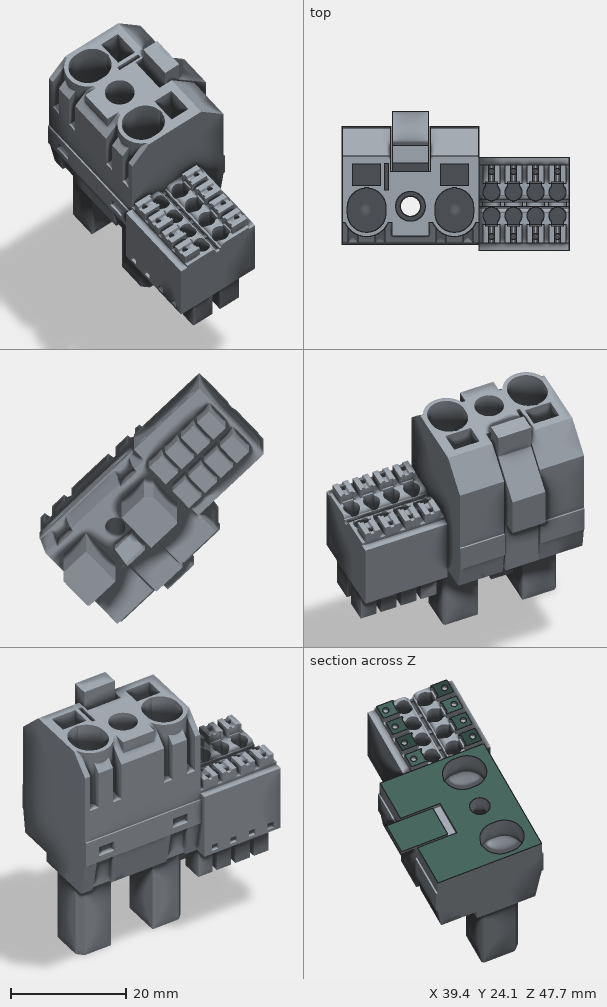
import cadquery as cq


POWER_WIDTH = 23.7
POWER_MIDDLE = POWER_WIDTH / 2
POWER_PITCH = 15.2
POWER_POLES = [POWER_MIDDLE - POWER_PITCH / 2, POWER_MIDDLE + POWER_PITCH / 2]
POWER_FRONT = 1.35
POWER_BACK = 21.27
POWER_TOP = 44.85
POWER_BOTTOM = 15.55
FRONT_CHAMFER = 3.6
BACK_CHAMFER = 4.85
BAND_OVERHANG = 0.3
BAND_BOTTOM = 22.3
BAND_TOP = 27.35
HEEL_Y = 13.75
HEEL_BOTTOM = 17.5
TAPER_FRONT_Y = 2.58
TAPER_BACK_Y = 20.6

FUNNEL_WIDTH = 6.73
FUNNEL_RADIUS = FUNNEL_WIDTH / 2
FUNNEL_FRONT_Y = 6.55
FUNNEL_BACK_Y = 7.5
FUNNEL_DEPTH = 19.1
FUNNEL_GROOVE_WIDTH = 0.65
FUNNEL_GROOVE_DEPTH = 0.1
COLLAR_RADIUS = 4.1
GROOVE_BOTTOM = 33.8
GROOVE_OUTER = 3.2
GROOVE_INNER = 1.5

PAD_WIDTH = 6.4
PAD_FRONT_Y = 2.58
PAD_BOTTOM = 42.45
SCREW_Y = 7.7
SCREW_DIAMETER = 3.5
SCREW_RADIUS = SCREW_DIAMETER / 2
SCREW_HEAD_RADIUS = 2.58
SCREW_HEAD_DEPTH = 9.55
POCKET_WIDTH = 4.85
POCKET_FRONT_Y = 11.3
POCKET_LENGTH = 3.65
POCKET_DEPTH = 14.3
KEYWAY_X = 7.35
KEYWAY_Y = 10.55
KEYWAY_WIDTH = 0.7
KEYWAY_LENGTH = 4.6
KEYWAY_DEPTH = 4.75
WINDOW_WIDTH = 3.15
WINDOW_BOTTOM = 23.55
WINDOW_HEIGHT = 1.95
WINDOW_DEPTH = 1.1
RECESS_MOUTH_WIDTH = 3.63
RECESS_FACE_WIDTH = 3.9
RECESS_FLARE_START_Y = 2.2
RECESS_FLARE_END_Y = 2.58
RECESS_FACE_Y = 3.15

LATCH_SLOT_WIDTH = 6.8
LATCH_WIDTH = 6.25
LATCH_OUTER_Y = 24.15
LATCH_SHOULDER_BOTTOM = 29.85
LATCH_SHOULDER_TOP = 37.3
LATCH_BOTTOM = 18.2
BUTTON_FRONT_Y = 15.2
BUTTON_BACK_Y = 18.25
BUTTON_TOP = 47.7

PRONG_WIDTH = 6.55
PRONG_FRONT_Y = 4.85
PRONG_BACK_Y = 12.25
PRONG_OUTER_X = 1.05
PRONG_FRONT_CHAMFER = 1.15
PRONG_BACK_CHAMFER = 0.4
POST_WIDTH = 4.15
POST_FRONT_Y = 9.8
POST_BACK_Y = 13.0
POST_BOTTOM = 8.25
POST_SLOPE_TOP = 11.05
POST_SLOPE_RUN = 2.55
POST_STEP_TOP = 11.35
POST_STEP = 0.15

SIGNAL_X = POWER_WIDTH
SIGNAL_WIDTH = 15.7
SIGNAL_DEPTH = 16.15
SIGNAL_MIDDLE_Y = SIGNAL_DEPTH / 2
SIGNAL_BOTTOM = 15.7
PANEL_TOP = 28.55
PANEL_THICKNESS = 1.35
DECK_TOP = 29.15
SIGNAL_COUNT = 4
SIGNAL_PITCH = 3.8
FIRST_POLE_X = 25.9
SIGNAL_POLES = [FIRST_POLE_X + i * SIGNAL_PITCH for i in range(SIGNAL_COUNT)]
ENTRY_Y = 6.05
ENTRY_RADIUS = 1.5
ENTRY_DEPTH = 4.75
TROUGH_FRONT_Y = 7.4
TROUGH_BACK_Y = 8.8
TROUGH_DEPTH = 0.75
CHANNEL_FRONT_Y = 7.65
WALL_FRONT_Y = 8.45
CHANNEL_FLOOR = 27.7
CELL_WIDTH = 3.15
CELL_DEPTH = 0.5
TEST_HOLE_SIZE = 1.3
TEST_HOLE_BOTTOM = 16.3
TEST_HOLE_DEPTH = 0.7
TAB_WIDTH = 2.95
TAB_BOTTOM = 9.05
TAB_FRONT_Y = 3.1
TAB_LENGTH = 4.15

LEVER_WIDTH = 2.9
LEVER_FRONT_Y = PANEL_THICKNESS
LEVER_BACK_Y = 4.55
LEVER_BOTTOM = DECK_TOP - ENTRY_DEPTH
LEVER_TOP = 31.1
THROAT_WIDTH = 2.05
THROAT_BACK_Y = 5.0
LEDGE_Z = 29.35
LEDGE_DEPTH = 0.3
NOTCH_TOP_WIDTH = 1.0
NOTCH_FLOOR_WIDTH = 0.55
NOTCH_DEPTH = 0.45
DIMPLE_Y = 2.45
DIMPLE_RADIUS = 0.52
DIMPLE_DEPTH = 1.45


def block(x0, x1, y0, y1, z0, z1):
    """Box between two corners."""
    return cq.Workplane("XY").box(x1 - x0, y1 - y0, z1 - z0, centered=False).translate((x0, y0, z0))


def centred_block(x, width, y0, y1, z0, z1):
    """Box that is centred on x."""
    return block(x - width / 2, x + width / 2, y0, y1, z0, z1)


def side_profile(x, width, points):
    """Outline of (Y, Z) points, extruded along X and centred on x."""
    return cq.Workplane("YZ", origin=(x - width / 2, 0, 0)).polyline(points).close().extrude(width)


def cylinder(x, y, radius, z0, z1):
    """Upright cylinder."""
    return cq.Workplane("XY", origin=(x, y, z0)).circle(radius).extrude(z1 - z0)


def mirrored_row(shape):
    """Copy of a front-row shape in the back row of the signal block."""
    return shape.mirror("XZ", (0, SIGNAL_MIDDLE_Y, 0))


def power_shell():
    """Outer block with its belt, tapered foot and chamfered top edges."""
    belt_front = POWER_FRONT - BAND_OVERHANG
    belt_back = POWER_BACK + BAND_OVERHANG
    return side_profile(POWER_MIDDLE, POWER_WIDTH, [
        (POWER_FRONT + FRONT_CHAMFER, POWER_TOP),
        (POWER_FRONT, POWER_TOP - FRONT_CHAMFER),
        (POWER_FRONT, BAND_TOP),
        (belt_front, BAND_TOP),
        (belt_front, BAND_BOTTOM),
        (POWER_FRONT, BAND_BOTTOM),
        (TAPER_FRONT_Y, POWER_BOTTOM),
        (HEEL_Y, POWER_BOTTOM),
        (HEEL_Y, HEEL_BOTTOM),
        (TAPER_BACK_Y, HEEL_BOTTOM),
        (POWER_BACK, BAND_BOTTOM),
        (belt_back, BAND_BOTTOM),
        (belt_back, BAND_TOP),
        (POWER_BACK, BAND_TOP),
        (POWER_BACK, POWER_TOP - BACK_CHAMFER),
        (POWER_BACK - BACK_CHAMFER, POWER_TOP),
    ])


def collar(x):
    """Round sleeve around a wire funnel, still without its bore."""
    return cylinder(x, FUNNEL_FRONT_Y, COLLAR_RADIUS, GROOVE_BOTTOM, POWER_TOP)


def collar_grooves(x):
    """Two vertical front grooves that expose the collar."""
    width = GROOVE_OUTER - GROOVE_INNER
    offset = (GROOVE_OUTER + GROOVE_INNER) / 2
    grooves = cq.Workplane("XY")
    for side in (-1, 1):
        grooves = grooves.union(centred_block(
            x + side * offset, width, 0, FUNNEL_FRONT_Y, GROOVE_BOTTOM, POWER_TOP))
    return grooves


def funnel_bore(x):
    """Oblong wire opening made of two circles and the block between them, with a groove at the back."""
    floor = POWER_TOP - FUNNEL_DEPTH
    bore = centred_block(x, FUNNEL_WIDTH, FUNNEL_FRONT_Y, FUNNEL_BACK_Y, floor, POWER_TOP)
    for y in (FUNNEL_FRONT_Y, FUNNEL_BACK_Y):
        bore = bore.union(cylinder(x, y, FUNNEL_RADIUS, floor, POWER_TOP))
    groove_back = FUNNEL_BACK_Y + FUNNEL_RADIUS + FUNNEL_GROOVE_DEPTH
    return bore.union(centred_block(
        x, FUNNEL_GROOVE_WIDTH, FUNNEL_BACK_Y, groove_back, floor, POWER_TOP))


def foot_recess(x):
    """Upright recess in the tapered foot that widens towards its inner face."""
    mouth = RECESS_MOUTH_WIDTH / 2
    inner = RECESS_FACE_WIDTH / 2
    outline = [
        (x - mouth, 0),
        (x - mouth, RECESS_FLARE_START_Y),
        (x - inner, RECESS_FLARE_END_Y),
        (x - inner, RECESS_FACE_Y),
        (x + inner, RECESS_FACE_Y),
        (x + inner, RECESS_FLARE_END_Y),
        (x + mouth, RECESS_FLARE_START_Y),
        (x + mouth, 0),
    ]
    height = BAND_BOTTOM - POWER_BOTTOM
    return cq.Workplane("XY", origin=(0, 0, POWER_BOTTOM)).polyline(outline).close().extrude(height)


def latch():
    """Sliding latch in the back slot, with its push button on top."""
    slope_at_button = LATCH_SHOULDER_TOP + LATCH_OUTER_Y - BUTTON_BACK_Y
    return side_profile(POWER_MIDDLE, LATCH_WIDTH, [
        (HEEL_Y, LATCH_BOTTOM),
        (POWER_BACK, LATCH_BOTTOM),
        (POWER_BACK, LATCH_SHOULDER_BOTTOM),
        (LATCH_OUTER_Y, LATCH_SHOULDER_BOTTOM),
        (LATCH_OUTER_Y, LATCH_SHOULDER_TOP),
        (BUTTON_BACK_Y, slope_at_button),
        (BUTTON_BACK_Y, BUTTON_TOP),
        (BUTTON_FRONT_Y, BUTTON_TOP),
        (BUTTON_FRONT_Y, LATCH_SHOULDER_BOTTOM),
        (HEEL_Y, LATCH_SHOULDER_BOTTOM),
    ])


def left_prong():
    """Contact prong with its two outer corners chamfered."""
    outer = PRONG_OUTER_X
    inner = outer + PRONG_WIDTH
    outline = [
        (outer + PRONG_FRONT_CHAMFER, PRONG_FRONT_Y),
        (inner, PRONG_FRONT_Y),
        (inner, PRONG_BACK_Y),
        (outer + PRONG_BACK_CHAMFER, PRONG_BACK_Y),
        (outer, PRONG_BACK_Y - PRONG_BACK_CHAMFER),
        (outer, PRONG_FRONT_Y + PRONG_FRONT_CHAMFER),
    ]
    return cq.Workplane("XY").polyline(outline).close().extrude(POWER_BOTTOM)


def coding_post():
    """Middle post below the housing, with a sloped front at its tip."""
    return side_profile(POWER_MIDDLE, POST_WIDTH, [
        (POST_FRONT_Y, POWER_BOTTOM),
        (POST_FRONT_Y, POST_STEP_TOP),
        (POST_FRONT_Y + POST_STEP, POST_SLOPE_TOP),
        (POST_FRONT_Y + POST_STEP + POST_SLOPE_RUN, POST_BOTTOM),
        (POST_BACK_Y, POST_BOTTOM),
        (POST_BACK_Y, POWER_BOTTOM),
    ])


def power_housing():
    """Housing with its latch, two prongs and coding post."""
    body = power_shell()
    body = body.cut(centred_block(
        POWER_MIDDLE, LATCH_SLOT_WIDTH, HEEL_Y, LATCH_OUTER_Y, POWER_BOTTOM, POWER_TOP))
    body = body.union(latch())
    body = body.union(centred_block(
        POWER_MIDDLE, PAD_WIDTH, PAD_FRONT_Y, POWER_FRONT + FRONT_CHAMFER, PAD_BOTTOM, POWER_TOP))

    window_back = POWER_FRONT - BAND_OVERHANG + WINDOW_DEPTH
    for x in POWER_POLES:
        body = body.cut(collar_grooves(x)).union(collar(x)).cut(funnel_bore(x))
        body = body.cut(centred_block(
            x, POCKET_WIDTH, POCKET_FRONT_Y, POCKET_FRONT_Y + POCKET_LENGTH,
            POWER_TOP - POCKET_DEPTH, POWER_TOP))
        body = body.cut(centred_block(
            x, WINDOW_WIDTH, 0, window_back, WINDOW_BOTTOM, WINDOW_BOTTOM + WINDOW_HEIGHT))
        body = body.cut(foot_recess(x))

    body = body.cut(block(
        KEYWAY_X, KEYWAY_X + KEYWAY_WIDTH, KEYWAY_Y, KEYWAY_Y + KEYWAY_LENGTH,
        POWER_TOP - KEYWAY_DEPTH, POWER_TOP))
    body = body.cut(cylinder(
        POWER_MIDDLE, SCREW_Y, SCREW_HEAD_RADIUS, POWER_TOP - SCREW_HEAD_DEPTH, POWER_TOP))
    body = body.cut(cylinder(POWER_MIDDLE, SCREW_Y, SCREW_RADIUS, POWER_BOTTOM, POWER_TOP))

    body = body.union(left_prong())
    body = body.union(left_prong().mirror("YZ", (POWER_MIDDLE, 0, 0)))
    return body.union(coding_post())


def signal_core():
    """Deck block between two lower panels, with a rounded trough along the middle."""
    trough_floor = DECK_TOP - TROUGH_DEPTH
    return (
        cq.Workplane("YZ", origin=(SIGNAL_X, 0, 0))
        .moveTo(0, SIGNAL_BOTTOM)
        .lineTo(0, PANEL_TOP)
        .lineTo(PANEL_THICKNESS, PANEL_TOP)
        .lineTo(PANEL_THICKNESS, DECK_TOP)
        .lineTo(TROUGH_FRONT_Y - TROUGH_DEPTH, DECK_TOP)
        .radiusArc((TROUGH_FRONT_Y, trough_floor), TROUGH_DEPTH)
        .lineTo(CHANNEL_FRONT_Y, trough_floor)
        .lineTo(CHANNEL_FRONT_Y, CHANNEL_FLOOR)
        .lineTo(WALL_FRONT_Y, CHANNEL_FLOOR)
        .lineTo(WALL_FRONT_Y, trough_floor)
        .lineTo(TROUGH_BACK_Y, trough_floor)
        .radiusArc((TROUGH_BACK_Y + TROUGH_DEPTH, DECK_TOP), TROUGH_DEPTH)
        .lineTo(SIGNAL_DEPTH - PANEL_THICKNESS, DECK_TOP)
        .lineTo(SIGNAL_DEPTH - PANEL_THICKNESS, PANEL_TOP)
        .lineTo(SIGNAL_DEPTH, PANEL_TOP)
        .lineTo(SIGNAL_DEPTH, SIGNAL_BOTTOM)
        .close()
        .extrude(SIGNAL_WIDTH)
    )


def signal_openings(x):
    """Wire entry, lever seat and the throat that joins them, for one front-row pole."""
    entry = cylinder(x, ENTRY_Y, ENTRY_RADIUS, LEVER_BOTTOM, DECK_TOP)
    seat = centred_block(x, LEVER_WIDTH, LEVER_FRONT_Y, LEVER_BACK_Y, LEVER_BOTTOM, DECK_TOP)
    throat = centred_block(x, THROAT_WIDTH, LEVER_BACK_Y, THROAT_BACK_Y, LEVER_BOTTOM, DECK_TOP)
    return entry.union(seat).union(throat)


def signal_housing():
    """Four-by-two pole block with its plug tabs."""
    body = signal_core()
    for x in SIGNAL_POLES:
        openings = signal_openings(x)
        tab = centred_block(
            x, TAB_WIDTH, TAB_FRONT_Y, TAB_FRONT_Y + TAB_LENGTH, TAB_BOTTOM, SIGNAL_BOTTOM)
        body = body.cut(openings).cut(mirrored_row(openings))
        body = body.union(tab).union(mirrored_row(tab))
        body = body.cut(centred_block(
            x, CELL_WIDTH, CHANNEL_FRONT_Y, WALL_FRONT_Y, CHANNEL_FLOOR - CELL_DEPTH, CHANNEL_FLOOR))
        body = body.cut(centred_block(
            x, TEST_HOLE_SIZE, 0, TEST_HOLE_DEPTH,
            TEST_HOLE_BOTTOM, TEST_HOLE_BOTTOM + TEST_HOLE_SIZE))
    return body


def release_lever(x):
    """Front-row lever with a screwdriver notch, a dimple and a stepped inner face."""
    notch_floor = LEVER_TOP - NOTCH_DEPTH
    lever = centred_block(x, LEVER_WIDTH, LEVER_FRONT_Y, LEVER_BACK_Y, LEVER_BOTTOM, LEVER_TOP)
    notch = (
        cq.Workplane("XZ")
        .polyline([
            (x - NOTCH_TOP_WIDTH / 2, LEVER_TOP),
            (x - NOTCH_FLOOR_WIDTH / 2, notch_floor),
            (x + NOTCH_FLOOR_WIDTH / 2, notch_floor),
            (x + NOTCH_TOP_WIDTH / 2, LEVER_TOP),
        ])
        .close()
        .extrude(-LEVER_BACK_Y)
    )
    dimple = cylinder(x, DIMPLE_Y, DIMPLE_RADIUS, LEVER_TOP - DIMPLE_DEPTH, LEVER_TOP)
    step = centred_block(
        x, THROAT_WIDTH, LEVER_BACK_Y - LEDGE_DEPTH, LEVER_BACK_Y, LEDGE_Z, LEVER_TOP)
    return lever.cut(notch).cut(dimple).cut(step)


levers = []
for pole_x in SIGNAL_POLES:
    front_lever = release_lever(pole_x)
    levers.append(front_lever.val())
    levers.append(mirrored_row(front_lever).val())

result = cq.Compound.makeCompound([power_housing().val(), signal_housing().val(), *levers])